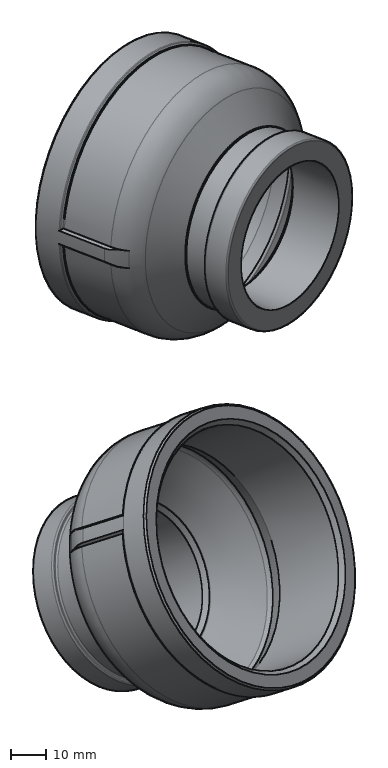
import cadquery as cq
import math

length = 60.0

bead_diameter = 84.0
bead_width = 9.15
body_diameter = 82.3
body_end = 27.1
step_height = (bead_diameter - body_diameter) / 2
bead_mouth_chamfer = 0.6
small_round = 0.5

cone_angle = math.radians(51.0)
shoulder_radius = 11.85
neck_diameter = 55.0

collar_diameter = 58.0
collar_start = 51.6

relief_diameter = 75.0
mouth_diameter = relief_diameter
bore_diameter = 72.25
mouth_chamfer = (mouth_diameter - bore_diameter) / 2
bore_end = 25.6
relief_end = 29.9
relief_round = 2.0
funnel_end_diameter = 48.1
seat_diameter = 47.7
lip_width = 0.1
outlet_diameter = 44.9
seat_depth = (seat_diameter - outlet_diameter) / 2

rib_top_width = 4.2
rib_base_width = 5.7
rib_bend_start = 25.5
rib_end = 32.8


def point_on_round(start_x, start_radius, round_radius, angle):
    """Point on a round that starts parallel to the axis and curves inward."""
    return (
        start_x + round_radius * math.sin(angle),
        start_radius - round_radius * (1 - math.cos(angle)),
    )


def cone_end(start, end_radius):
    """Point where a cone from start reaches end_radius at the common cone angle."""
    start_x, start_radius = start
    return (start_x + (start_radius - end_radius) / math.tan(cone_angle), end_radius)


def revolve_about_x(profile):
    return profile.close().revolve(360, (0, 0, 0), (1, 0, 0))


def circles_at(body, *places):
    """Circular edges about the X axis, each given by its (x, radius)."""
    reach = 0.01
    edges = body.edges("%CIRCLE")
    return edges.filter(
        lambda edge: any(
            abs(edge.Center().x - x) < reach and abs(edge.radius() - radius) < reach
            for x, radius in places
        )
    )


def outer_body():
    bead_radius = bead_diameter / 2
    body_radius = body_diameter / 2
    neck_radius = neck_diameter / 2
    collar_radius = collar_diameter / 2
    shoulder_middle = point_on_round(body_end, body_radius, shoulder_radius, cone_angle / 2)
    shoulder_end = point_on_round(body_end, body_radius, shoulder_radius, cone_angle)
    neck_start = cone_end(shoulder_end, neck_radius)
    bead_top = (bead_width, bead_radius)
    bead_root = (bead_width + step_height, body_radius)
    collar_root = (collar_start, neck_radius)
    collar_edge = (collar_start, collar_radius)
    small_end = (length, collar_radius)

    body = revolve_about_x(
        cq.Workplane("XY")
        .lineTo(0, bead_radius)
        .lineTo(*bead_top)
        .lineTo(*bead_root)
        .lineTo(body_end, body_radius)
        .threePointArc(shoulder_middle, shoulder_end)
        .lineTo(*neck_start)
        .lineTo(*collar_root)
        .lineTo(*collar_edge)
        .lineTo(*small_end)
        .lineTo(length, 0)
    )
    body = circles_at(body, (0, bead_radius)).chamfer(bead_mouth_chamfer)
    rounded = (bead_top, bead_root, neck_start, collar_root, collar_edge, small_end)
    return circles_at(body, *rounded).fillet(small_round)


def ribs():
    top = bead_diameter / 2
    base = top - step_height
    end_drop = shoulder_radius - math.sqrt(shoulder_radius**2 - (rib_end - body_end) ** 2)
    end_radius = body_diameter / 2 - end_drop
    run = rib_end - rib_bend_start
    drop = top - end_radius
    bend_radius = (run**2 + drop**2) / (2 * drop)
    bend_angle = math.asin(run / bend_radius)
    bend_middle = point_on_round(rib_bend_start, top, bend_radius, bend_angle / 2)

    envelope = revolve_about_x(
        cq.Workplane("XY")
        .moveTo(bead_width / 2, 0)
        .lineTo(bead_width / 2, top)
        .lineTo(rib_bend_start, top)
        .threePointArc(bend_middle, (rib_end, end_radius))
        .lineTo(rib_end, 0)
    )
    section = [
        (-top, -rib_top_width / 2),
        (-base, -rib_base_width / 2),
        (base, -rib_base_width / 2),
        (top, -rib_top_width / 2),
        (top, rib_top_width / 2),
        (base, rib_base_width / 2),
        (-base, rib_base_width / 2),
        (-top, rib_top_width / 2),
    ]
    bar = cq.Workplane("YZ").polyline(section).close().extrude(length)
    return bar.intersect(envelope)


def inside():
    relief_radius = relief_diameter / 2
    bore_radius = bore_diameter / 2
    outlet_radius = outlet_diameter / 2
    relief_middle = point_on_round(relief_end, relief_radius, relief_round, cone_angle / 2)
    funnel_start = point_on_round(relief_end, relief_radius, relief_round, cone_angle)
    funnel_end = cone_end(funnel_start, funnel_end_diameter / 2)
    seat_start = funnel_end[0] + lip_width

    return revolve_about_x(
        cq.Workplane("XY")
        .lineTo(0, mouth_diameter / 2)
        .lineTo(mouth_chamfer, bore_radius)
        .lineTo(bore_end, bore_radius)
        .lineTo(relief_end, relief_radius)
        .threePointArc(relief_middle, funnel_start)
        .lineTo(*funnel_end)
        .lineTo(seat_start, seat_diameter / 2)
        .lineTo(seat_start + seat_depth, outlet_radius)
        .lineTo(length, outlet_radius)
        .lineTo(length, 0)
    )


result = outer_body().union(ribs()).cut(inside())